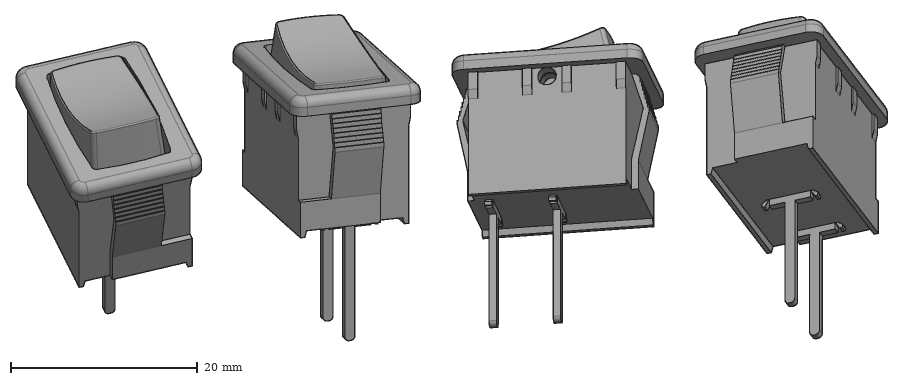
import cadquery as cq


overall_length = 20.94

bezel_length = 20.84
bezel_width = 14.8
bezel_height = 2.0
bezel_corner_radius = 1.5
bezel_edge_radius = 1.0

body_half_length = 8.59
body_half_width = 6.3
body_bottom = -13.37
skirt_bottom = -14.09
skirt_tip_thickness = 0.5
skirt_root_thickness = 0.7

rib_width = 1.03
rib_height = 0.2
rib_straight_bottom = -2.0
rib_bottom = -3.0
rib_centers = (-8.075, -2.16, 2.16, 8.075)

pivot_diameter = 2.0
pivot_depth = 3.0
pivot_z = -pivot_diameter / 2

clip_half_width = 2.78
clip_thickness = 0.72
clip_half_span = overall_length / 2
clip_tip_outer_x = 9.1
clip_inner_kink = (9.85, -4.02)
clip_inner_foot_z = -9.7
clip_plate_top = -10.06
tooth_count = 8
tooth_pitch = 0.5
tooth_step = 0.14
first_tooth_z = -0.43

opening_half_length = 8.2
opening_half_width = 4.87
opening_corner_x = 7.9
opening_corner_y = 4.4
opening_corner_radius = 0.5
opening_floor = -1.15
rocker_left_x = -7.98
rocker_end_bulge = 0.25
rocker_loft_top = 6.0
rocker_base_right_x = 7.6
rocker_top_right_x = 5.8
rocker_base_half_width = 4.69
rocker_base_corner_y = 4.2
rocker_top_half_width = 4.25
rocker_top_corner_y = 3.8
rocker_corner_radius = 0.6
rocker_edge_radius = 0.15
rocker_low_edge_z = 2.56
rocker_mid_x = -0.35
rocker_mid_z = 3.16
rocker_high_edge_x = 5.95
rocker_high_edge_z = 5.5

terminal_xs = (-7.0, 0.0)
terminal_thickness = 0.8
pin_half_width = 0.58
pin_bottom = -27.04
pin_tip_radius = 0.5
shoulder_half_width = 2.38
shoulder_bottom = -14.18
tab_profile = ((2.42, body_bottom), (2.9, shoulder_bottom), (3.2, shoulder_bottom),
               (3.28, -13.8), (2.75, body_bottom))


def box(x_range, y_range, z_range):
    """Axis-aligned box from its limits along each axis."""
    limits = (x_range, y_range, z_range)
    sizes = [high - low for low, high in limits]
    corner = [low for low, high in limits]
    return cq.Workplane("XY").box(*sizes, centered=False).translate(tuple(corner))


def barrel(workplane, left, right, bulge, corner_y, half_width):
    """Closed outline with four outward-bowed sides, from its X limits."""
    corner_left = left + bulge
    corner_right = right - bulge
    middle = (left + right) / 2
    return (
        workplane.moveTo(corner_left, -corner_y)
        .threePointArc((middle, -half_width), (corner_right, -corner_y))
        .threePointArc((right, 0), (corner_right, corner_y))
        .threePointArc((middle, half_width), (corner_left, corner_y))
        .threePointArc((left, 0), (corner_left, -corner_y))
        .close()
    )


def make_bezel():
    bezel = box(
        (-bezel_length / 2, bezel_length / 2),
        (-bezel_width / 2, bezel_width / 2),
        (0, bezel_height),
    )
    return bezel.edges("|Z").fillet(bezel_corner_radius).faces(">Z").edges().fillet(bezel_edge_radius)


def make_skirt(side, x_start, x_end):
    """Tapered foot along one long side (side is +1 or -1 in Y)."""
    profile = [
        (side * body_half_width, body_bottom),
        (side * body_half_width, skirt_bottom),
        (side * (body_half_width - skirt_tip_thickness), skirt_bottom),
        (side * (body_half_width - skirt_root_thickness), body_bottom),
    ]
    return (
        cq.Workplane("YZ").polyline(profile).close()
        .extrude(x_end - x_start).translate((x_start, 0, 0))
    )


def make_rib(side, center_x):
    """Upright rib whose lower end slopes back into the wall."""
    outer = body_half_width + rib_height
    profile = [
        (0, 0),
        (side * outer, 0),
        (side * outer, rib_straight_bottom),
        (side * body_half_width, rib_bottom),
        (0, rib_bottom),
    ]
    return (
        cq.Workplane("YZ").polyline(profile).close()
        .extrude(rib_width).translate((center_x - rib_width / 2, 0, 0))
    )


def make_body():
    body = box(
        (-body_half_length, body_half_length),
        (-body_half_width, body_half_width),
        (body_bottom, 0),
    )
    for side in (-1, 1):
        body = body.union(make_skirt(side, -body_half_length, body_half_length))
        for center_x in rib_centers:
            body = body.union(make_rib(side, center_x))
    return body


def make_clip():
    """Serrated spring leg, base plate and foot on the +X end."""
    plate_x = body_half_length + clip_thickness
    outline = [(body_half_length, 0), (clip_tip_outer_x, 0)]
    for tooth in range(tooth_count):
        tooth_x = clip_half_span - (tooth_count - 1 - tooth) * tooth_step
        tooth_top = first_tooth_z - tooth * tooth_pitch
        outline += [(tooth_x, tooth_top), (tooth_x, tooth_top - tooth_pitch)]
    outline += [
        (plate_x, clip_plate_top),
        (plate_x, body_bottom),
        (body_half_length, body_bottom),
        (body_half_length, clip_inner_foot_z),
        clip_inner_kink,
    ]
    leg = cq.Workplane("XZ").polyline(outline).close().extrude(clip_half_width, both=True)
    plate = box(
        (body_half_length, plate_x),
        (-clip_half_width, body_half_width),
        (body_bottom, clip_plate_top),
    )
    return leg.union(plate).union(make_skirt(1, body_half_length, plate_x))


def make_opening():
    bulge = opening_half_length - opening_corner_x
    outline = barrel(
        cq.Workplane("XY").workplane(offset=opening_floor),
        -opening_half_length, opening_half_length, bulge, opening_corner_y, opening_half_width,
    )
    return outline.extrude(bezel_height - opening_floor).edges("|Z").fillet(opening_corner_radius)


def make_rocker():
    """Drafted barrel-sided block under a concave, tilted top surface."""
    base = barrel(
        cq.Workplane("XY").workplane(offset=opening_floor),
        rocker_left_x, rocker_base_right_x, rocker_end_bulge,
        rocker_base_corner_y, rocker_base_half_width,
    )
    block = barrel(
        base.workplane(offset=rocker_loft_top - opening_floor),
        rocker_left_x, rocker_top_right_x, rocker_end_bulge,
        rocker_top_corner_y, rocker_top_half_width,
    ).loft(ruled=True)
    block = block.edges("not (<Z or >Z)").fillet(rocker_corner_radius)
    under_top = (
        cq.Workplane("XZ")
        .moveTo(rocker_left_x, opening_floor)
        .lineTo(rocker_left_x, rocker_low_edge_z)
        .threePointArc((rocker_mid_x, rocker_mid_z), (rocker_high_edge_x, rocker_high_edge_z))
        .lineTo(rocker_base_right_x, rocker_high_edge_z)
        .lineTo(rocker_base_right_x, opening_floor)
        .close()
        .extrude(bezel_width / 2, both=True)
    )
    rocker = block.intersect(under_top)
    return rocker.faces("%CYLINDER").edges().fillet(rocker_edge_radius)


def make_terminal(center_x):
    """Flat blade with a shoulder, two splayed tabs and a rounded tip."""
    half = terminal_thickness / 2
    x_range = (center_x - half, center_x + half)
    pin = box(x_range, (-pin_half_width, pin_half_width), (pin_bottom, body_bottom))
    pin = pin.faces("<Z").edges("|X").fillet(pin_tip_radius)
    shoulder = box(x_range, (-shoulder_half_width, shoulder_half_width), (shoulder_bottom, body_bottom))
    terminal = pin.union(shoulder)
    for side in (-1, 1):
        points = [(side * y, z) for y, z in tab_profile]
        tab = cq.Workplane("YZ").polyline(points).close().extrude(terminal_thickness)
        terminal = terminal.union(tab.translate((center_x - half, 0, 0)))
    return terminal


def make_pivot_hole():
    return (
        cq.Workplane("XZ", origin=(0, -body_half_width, pivot_z))
        .circle(pivot_diameter / 2)
        .extrude(-pivot_depth)
    )


clip = make_clip()
result = make_bezel().union(make_body()).union(clip).union(clip.mirror("YZ"))
result = result.cut(make_opening()).union(make_rocker()).cut(make_pivot_hole())
for terminal_x in terminal_xs:
    result = result.union(make_terminal(terminal_x))